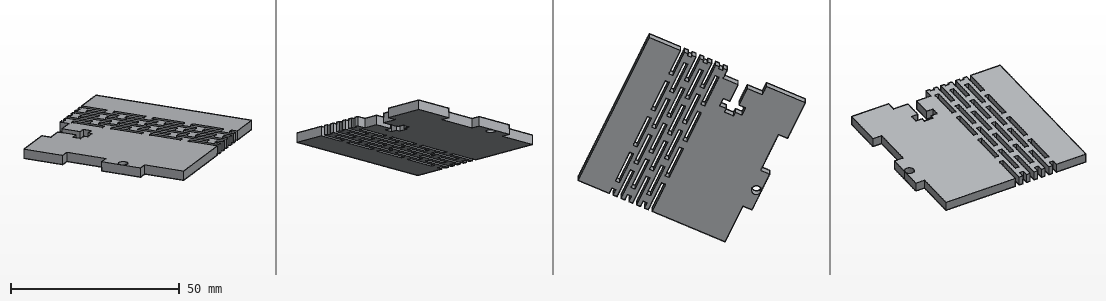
import cadquery as cq

side = 50.8
thickness = 2.95

finger_length = side / 4
bottom_notch_starts = [finger_length, 3 * finger_length]
left_notch_start = finger_length

screw_slot_width = 2.95
screw_slot_end = 12.7
nut_start = 8.9
nut_length = 2.55
nut_width = 7.25

screw_hole_diameter = 2.85
screw_hole_x = (bottom_notch_starts[0] + finger_length + bottom_notch_starts[1]) / 2

hinge_top = 40.65
slit_rows = 6
slit_width = 1.25
row_pitch = 2 * slit_width
slit_length = 10.15
bridge_length = 2.55
slit_pitch = slit_length + bridge_length
row_stagger = slit_length - bridge_length
lower_row_bridge = slit_width / 2
upper_row_bridge = lower_row_bridge + row_stagger


def cutter(x_start, x_end, y_start, y_end):
    """Rectangular block through the full thickness."""
    return cq.Workplane("XY").box(
        x_end - x_start, y_end - y_start, thickness, centered=False
    ).translate((x_start, y_start, 0))


def cut_finger_joints(panel):
    for x in bottom_notch_starts:
        panel = panel.cut(cutter(x, x + finger_length, 0, thickness))
    return panel.cut(cutter(0, thickness, left_notch_start, left_notch_start + finger_length))


def cut_t_slot(panel):
    y_mid = left_notch_start + finger_length / 2
    screw_half = screw_slot_width / 2
    nut_half = nut_width / 2
    panel = panel.cut(cutter(0, screw_slot_end, y_mid - screw_half, y_mid + screw_half))
    return panel.cut(cutter(nut_start, nut_start + nut_length, y_mid - nut_half, y_mid + nut_half))


def cut_screw_hole(panel):
    hole = (
        cq.Workplane("XY")
        .center(screw_hole_x, thickness / 2)
        .circle(screw_hole_diameter / 2)
        .extrude(thickness)
    )
    return panel.cut(hole)


def cut_hinge_row(panel, y_top, first_bridge):
    """Cut one row of slits; first_bridge is where its leftmost bridge begins."""
    slit_end = first_bridge
    while slit_end - slit_length < side:
        slit_start = max(slit_end - slit_length, 0)
        panel = panel.cut(cutter(slit_start, min(slit_end, side), y_top - slit_width, y_top))
        slit_end += slit_pitch
    return panel


def cut_hinge(panel):
    for row in range(slit_rows):
        first_bridge = upper_row_bridge if row % 2 == 0 else lower_row_bridge
        panel = cut_hinge_row(panel, hinge_top - row * row_pitch, first_bridge)
    return panel


panel = cutter(0, side, 0, side)
panel = cut_finger_joints(panel)
panel = cut_t_slot(panel)
panel = cut_screw_hole(panel)
result = cut_hinge(panel)